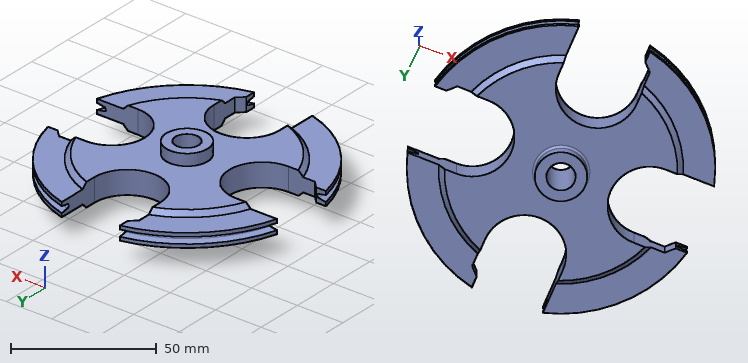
import cadquery as cq
import math

hub_diameter = 18.0
bore_diameter = 10.0
hub_length = 20.0
hub_fillet = 0.8

slot_count = 4
slot_width = 29.0
slot_bottom = 18.5
lip_height = 2.9
lip_start = 44.6
lip_edge = slot_width / 2 - lip_height

web_thickness = 10.0
rim_thickness = 6.0
overall_width = 103.5
rim_radius = math.hypot(overall_width / 2, lip_edge)
web_radius = 40.0
bevel = (web_thickness - rim_thickness) / 2

groove_mouth = 2.8
groove_depth = 3.7
root_radius = 0.8


def make_disc():
    """Revolve the half section of the bevelled web and rim."""
    half_web = web_thickness / 2
    half_rim = rim_thickness / 2
    return (
        cq.Workplane("XZ")
        .moveTo(0, -half_web)
        .lineTo(web_radius, -half_web)
        .lineTo(web_radius + bevel, -half_rim)
        .lineTo(rim_radius, -half_rim)
        .lineTo(rim_radius, half_rim)
        .lineTo(web_radius + bevel, half_rim)
        .lineTo(web_radius, half_web)
        .lineTo(0, half_web)
        .close()
        .revolve(360, (0, 0, 0), (0, 1, 0))
    )


def make_groove():
    """Tapered ring with straight flanks tangent to a round root."""
    root_center = rim_radius - groove_depth + root_radius
    half_mouth = groove_mouth / 2
    run = rim_radius - root_center
    mouth_distance = math.hypot(run, half_mouth)
    tangent_angle = math.atan2(half_mouth, run) + math.acos(root_radius / mouth_distance)
    tangent_x = root_center + root_radius * math.cos(tangent_angle)
    tangent_z = root_radius * math.sin(tangent_angle)
    return (
        cq.Workplane("XZ")
        .moveTo(rim_radius, -half_mouth)
        .lineTo(tangent_x, -tangent_z)
        .threePointArc((root_center - root_radius, 0), (tangent_x, tangent_z))
        .lineTo(rim_radius, half_mouth)
        .close()
        .revolve(360, (0, 0, 0), (0, 1, 0))
    )


def make_slot():
    """Round-bottomed slot opening toward +X, narrowed on its +Y side by the lip."""
    half_width = slot_width / 2
    arc_center = slot_bottom + half_width
    slot_end = overall_width
    return (
        cq.Workplane("XY")
        .workplane(offset=-web_thickness / 2)
        .moveTo(slot_end, -half_width)
        .lineTo(arc_center, -half_width)
        .threePointArc((slot_bottom, 0), (arc_center, half_width))
        .lineTo(lip_start, half_width)
        .lineTo(lip_start + lip_height, lip_edge)
        .lineTo(slot_end, lip_edge)
        .close()
        .extrude(web_thickness)
    )


def make_cylinder(diameter, bottom, height):
    return cq.Workplane("XY").workplane(offset=bottom).circle(diameter / 2).extrude(height)


def make_hub_fillet():
    """Ring blending the lower hub into the underside of the web by a concave quarter round."""
    hub_radius = hub_diameter / 2
    underside = -web_thickness / 2
    arc_offset = hub_fillet * (1 - math.sqrt(0.5))
    return (
        cq.Workplane("XZ")
        .moveTo(bore_diameter / 2, underside)
        .lineTo(hub_radius + hub_fillet, underside)
        .threePointArc(
            (hub_radius + arc_offset, underside - arc_offset),
            (hub_radius, underside - hub_fillet),
        )
        .lineTo(bore_diameter / 2, underside - hub_fillet)
        .close()
        .revolve(360, (0, 0, 0), (0, 1, 0))
    )


result = make_disc().cut(make_groove())
slot = make_slot()
for index in range(slot_count):
    result = result.cut(slot.rotate((0, 0, 0), (0, 0, 1), index * 360 / slot_count))

hub = make_cylinder(hub_diameter, -hub_length / 2, hub_length)
bore = make_cylinder(bore_diameter, -hub_length / 2, hub_length)
result = result.union(hub).union(make_hub_fillet()).cut(bore)